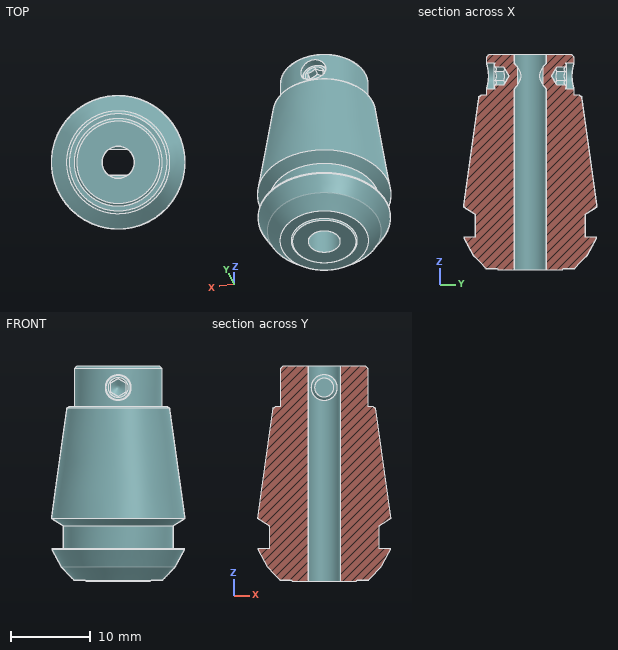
import cadquery as cq
import math

height = 27.0
collar_base_z = 21.95
skirt_edge_z = 7.9
groove_top_z = 6.97
groove_base_z = 4.15
rim_height = 0.15
bowl_break_z = 1.8
pad_height = 0.15

collar_diameter = 11.0
shoulder_diameter = 12.9
skirt_diameter = 16.77
groove_diameter = 13.8
rim_diameter = 16.6
bowl_break_diameter = 14.25
bowl_base_diameter = 11.07
pad_top_diameter = 8.25
pad_diameter = 7.95
bore_diameter = 4.0

collar_chamfer = 0.32
shoulder_chamfer = 0.25
shoulder_chamfer_width = 0.35

screw_diameter = 3.25
screw_z = 24.3
screw_inner_y = 1.6
screw_outer_y = 4.5
screw_inner_chamfer = 0.43
screw_outer_chamfer = 0.1
socket_across_flats = 1.95
socket_depth = 1.2
socket_mouth_diameter = 2.48
drill_tip_angle = 120.0


def make_body():
    """Revolve the outer profile and bore it through."""
    profile = [
        (0, 0),
        (pad_diameter / 2, 0),
        (pad_top_diameter / 2, pad_height),
        (bowl_base_diameter / 2, pad_height),
        (bowl_break_diameter / 2, bowl_break_z),
        (rim_diameter / 2, groove_base_z - rim_height),
        (rim_diameter / 2, groove_base_z),
        (groove_diameter / 2, groove_base_z),
        (groove_diameter / 2, groove_top_z),
        (skirt_diameter / 2, skirt_edge_z),
        (shoulder_diameter / 2, collar_base_z - shoulder_chamfer),
        (shoulder_diameter / 2 - shoulder_chamfer_width, collar_base_z),
        (collar_diameter / 2, collar_base_z),
        (collar_diameter / 2, height - collar_chamfer),
        (collar_diameter / 2 - collar_chamfer, height),
        (0, height),
    ]
    body = cq.Workplane("XZ").polyline(profile).close().revolve(360, (0, 0), (0, 1))
    bore = cq.Workplane("XY").circle(bore_diameter / 2).extrude(height)
    return body.cut(bore)


def make_screw():
    """Set screw along +Z, from its inner end to its socketed outer end."""
    screw = (
        cq.Workplane("XY")
        .workplane(offset=screw_inner_y)
        .circle(screw_diameter / 2)
        .extrude(screw_outer_y - screw_inner_y)
        .faces("<Z")
        .chamfer(screw_inner_chamfer)
        .faces(">Z")
        .chamfer(screw_outer_chamfer)
    )
    socket_floor = screw_outer_y - socket_depth
    across_corners = socket_across_flats / math.cos(math.pi / 6)
    tip_radius = across_corners / 2
    tip_depth = tip_radius / math.tan(math.radians(drill_tip_angle / 2))
    tip_z = socket_floor - tip_depth
    hexagon = (
        cq.Workplane("XY")
        .workplane(offset=tip_z)
        .transformed(rotate=(0, 0, 30))
        .polygon(6, across_corners)
        .extrude(socket_depth + tip_depth)
    )
    drilling = (
        cq.Workplane("XZ")
        .polyline([(0, tip_z), (tip_radius, socket_floor), (tip_radius, screw_outer_y), (0, screw_outer_y)])
        .close()
        .revolve(360, (0, 0), (0, 1))
    )
    socket = hexagon.intersect(drilling)
    mouth_radius = socket_mouth_diameter / 2
    mouth = cq.Workplane(
        cq.Solid.makeCone(0, mouth_radius, mouth_radius, cq.Vector(0, 0, screw_outer_y - mouth_radius))
    )
    return screw.cut(socket).cut(mouth)


result = make_body()
for tilt in (90, -90):
    screw_hole = cq.Workplane("XY").circle(screw_diameter / 2).extrude(collar_diameter / 2)
    screw_position = cq.Vector(0, 0, screw_z)
    screw_hole = screw_hole.rotate((0, 0, 0), (1, 0, 0), tilt).translate(screw_position)
    screw = make_screw().rotate((0, 0, 0), (1, 0, 0), tilt).translate(screw_position)
    result = result.cut(screw_hole).union(screw)